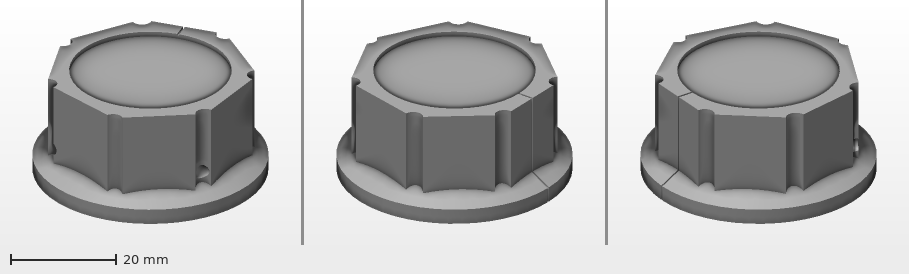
import cadquery as cq
import math

flange_radius = 22.45
flange_height = 3.05
cone_slope_angle = 30.0

knob_height = 21.1
corner_radius = 20.5
corner_angles = [65.4, 14.7, -39.1, -90.0, -144.7, 165.3, 114.6]
flute_radius = 1.85
flute_center_radius = 20.25
front_flute_offset = 0.5
front_angle = -90.0

recess_radius = 15.45
recess_depth = 1.0

screw_hole_diameter = 2.8
screw_hole_height = 7.7
screw_hole_inner_radius = 6.75
screw_hole_angles = [front_angle - 360.0 / 7, front_angle + 360.0 / 7]

pointer_width = 0.4
pointer_depth = 0.3
pointer_rim_depth = 0.15


def polar(radius, angle):
    """Point in the XY plane at a radius and an angle in degrees."""
    return (radius * math.cos(math.radians(angle)), radius * math.sin(math.radians(angle)))


def cone_height(radius):
    """Height of the conical shoulder at a distance from the axis."""
    return flange_height + math.tan(math.radians(cone_slope_angle)) * (flange_radius - radius)


def make_flange():
    profile = [
        (0, 0),
        (flange_radius, 0),
        (flange_radius, flange_height),
        (recess_radius, cone_height(recess_radius)),
        (0, cone_height(recess_radius)),
    ]
    return cq.Workplane("XZ").polyline(profile).close().revolve(360, (0, 0, 0), (0, 1, 0))


def make_flute(angle):
    center_radius = flute_center_radius
    if angle == front_angle:
        center_radius += front_flute_offset
    return cq.Workplane("XY").center(*polar(center_radius, angle)).circle(flute_radius).extrude(knob_height)


def make_grip():
    corners = [polar(corner_radius, angle) for angle in corner_angles]
    grip = cq.Workplane("XY").polyline(corners).close().extrude(knob_height)
    for angle in corner_angles:
        grip = grip.cut(make_flute(angle))
    return grip


def make_recess():
    floor = knob_height - recess_depth
    return cq.Workplane("XY").workplane(offset=floor).circle(recess_radius).extrude(recess_depth)


def make_screw_hole(angle):
    start = cq.Vector(*polar(screw_hole_inner_radius, angle), screw_hole_height)
    direction = cq.Vector(*polar(1, angle), 0)
    length = flange_radius - screw_hole_inner_radius
    return cq.Solid.makeCylinder(screw_hole_diameter / 2, length, start, direction)


def make_pointer():
    """Thin slab lying outside a side outline that is inset from the knob surface."""
    face = polar(corner_radius, corner_angles[0])[1] - pointer_depth
    rim = flange_radius - pointer_rim_depth
    outline = [
        (0, knob_height),
        (0, knob_height - pointer_depth),
        (face, knob_height - pointer_depth),
        (face, cone_height(face) - pointer_depth),
        (rim, cone_height(rim) - pointer_depth),
        (rim, 0),
        (flange_radius, 0),
        (flange_radius, knob_height),
    ]
    return cq.Workplane("YZ").polyline(outline).close().extrude(pointer_width / 2, both=True)


result = make_flange().union(make_grip()).cut(make_recess())
for hole_angle in screw_hole_angles:
    result = result.cut(cq.Workplane(obj=make_screw_hole(hole_angle)))
result = result.cut(make_pointer())